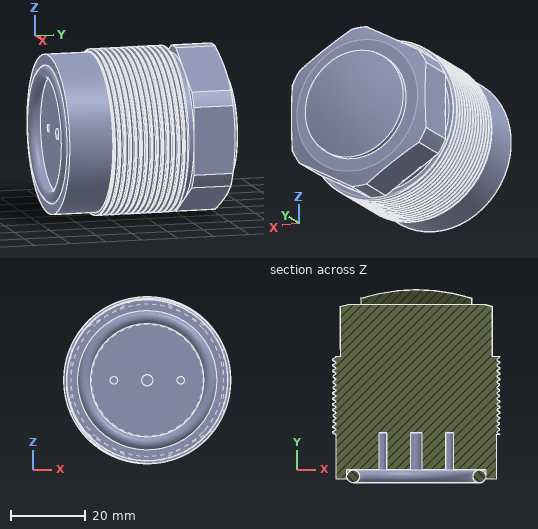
import cadquery as cq
import math


skirt_length = 12.0
thread_length = 21.0
neck_length = 2.0
hex_height = 12.0
thread_start = skirt_length
thread_end = thread_start + thread_length
hex_start = thread_end + neck_length
hex_end = hex_start + hex_height

thread_radius = 45.0 / 2
thread_pitch = 1.5
thread_depth = thread_pitch / 2
core_radius = thread_radius - thread_depth
crest_width = thread_pitch / 4
root_width = thread_pitch / 8
ridge_start = -0.5
ridge_overrun_turns = 1
ridge_sink = 0.05

across_flats = 41.0
across_corners = across_flats / math.cos(math.radians(30))
hex_corner_radius = thread_radius
hex_face_radius = 18.5
hex_chamfer_angle = 15.0

skirt_radius = 43.3 / 2
neck_radius = across_flats / 2

ring_section_radius = 3.5 / 2
ring_centre_radius = 17.0
ring_protrusion = 1.04
recess_radius = ring_centre_radius + ring_section_radius
recess_depth = 2 * ring_section_radius - ring_protrusion

centre_hole_diameter = 3.0
side_hole_diameter = 2.0
side_hole_offset = 9.0
hole_depth = 10.0

button_radius = 15.0
dome_radius = 50.0
dome_height = dome_radius - math.sqrt(dome_radius**2 - button_radius**2)
button_height = 4.0
button_tip = hex_end + button_height
button_rim = button_tip - dome_height


def plane_at(y):
    """Workplane square to the axis, with its normal toward +Y and its local X along +X."""
    return cq.Workplane(cq.Plane(origin=(0, y, 0), xDir=(1, 0, 0), normal=(0, 1, 0)))


def revolve_about_y(profile):
    return profile.revolve(360, (0, 0, 0), (0, 1, 0))


def make_thread_ridge():
    """Right-hand helical ridge, cut off square at both ends of the thread."""
    first_turn = ridge_start - ridge_overrun_turns * thread_pitch
    helix_length = thread_length + 2 * ridge_overrun_turns * thread_pitch
    inner_radius = core_radius - ridge_sink
    crest_half = crest_width / 2
    root_half = (thread_pitch - root_width) / 2
    inner_half = root_half + ridge_sink * (root_half - crest_half) / thread_depth

    helix = cq.Wire.makeHelix(thread_pitch, helix_length, thread_radius, cq.Vector(0, 0, first_turn))
    ridge = (
        cq.Workplane("XZ")
        .polyline([
            (inner_radius, first_turn - inner_half),
            (thread_radius, first_turn - crest_half),
            (thread_radius, first_turn + crest_half),
            (inner_radius, first_turn + inner_half),
        ])
        .close()
        .sweep(cq.Workplane(obj=helix), isFrenet=True)
    )
    slab = cq.Workplane("XY").circle(2 * thread_radius).extrude(thread_length)
    upright = ridge.intersect(slab, clean=False)
    along_y = upright.rotate((0, 0, 0), (1, 0, 0), -90).rotate((0, 0, 0), (0, 1, 0), -90)
    return along_y.translate((0, thread_start, 0))


def make_hexagon():
    """Hexagon with corners on +Z and -Z, rounded to a cylinder and chamfered at its outer face."""
    chamfer_drop = (hex_corner_radius - hex_face_radius) * math.tan(math.radians(hex_chamfer_angle))
    envelope = revolve_about_y(
        cq.Workplane("XY").polyline([
            (0, hex_start),
            (hex_corner_radius, hex_start),
            (hex_corner_radius, hex_end - chamfer_drop),
            (hex_face_radius, hex_end),
            (0, hex_end),
        ]).close()
    )
    prism = plane_at(hex_start).transformed(rotate=(0, 0, 90)).polygon(6, across_corners).extrude(hex_height)
    return prism.intersect(envelope)


def make_housing():
    skirt = plane_at(0).circle(skirt_radius).extrude(skirt_length)
    neck = plane_at(thread_end).circle(neck_radius).extrude(neck_length)
    core = plane_at(thread_start).circle(core_radius).extrude(thread_length)
    housing = skirt.union(core).union(neck).union(make_hexagon())

    recess = plane_at(0).circle(recess_radius).extrude(recess_depth)
    centre_hole = plane_at(recess_depth).circle(centre_hole_diameter / 2).extrude(hole_depth)
    side_holes = (
        plane_at(recess_depth)
        .pushPoints([(-side_hole_offset, 0), (side_hole_offset, 0)])
        .circle(side_hole_diameter / 2)
        .extrude(hole_depth)
    )
    housing = housing.cut(recess).cut(centre_hole).cut(side_holes)
    return housing.union(make_thread_ridge(), clean=False)


def make_o_ring():
    """Ring that lies on the recess floor against its wall and stands out from the end rim."""
    section_centre_y = recess_depth - ring_section_radius
    section = cq.Workplane("XY").center(ring_centre_radius, section_centre_y).circle(ring_section_radius)
    return section.revolve(360, (-ring_centre_radius, 0, 0), (-ring_centre_radius, 1, 0))


def make_button():
    """Domed disc that rests on the outer face of the hexagon."""
    arc_middle_x = button_radius / 2
    arc_middle_y = button_tip - dome_radius + math.sqrt(dome_radius**2 - arc_middle_x**2)
    return revolve_about_y(
        cq.Workplane("XY")
        .moveTo(0, hex_end)
        .lineTo(button_radius, hex_end)
        .lineTo(button_radius, button_rim)
        .threePointArc((arc_middle_x, arc_middle_y), (0, button_tip))
        .close()
    )


housing = make_housing()
o_ring = make_o_ring()
button = make_button()

result = cq.Compound.makeCompound([housing.val(), o_ring.val(), button.val()])